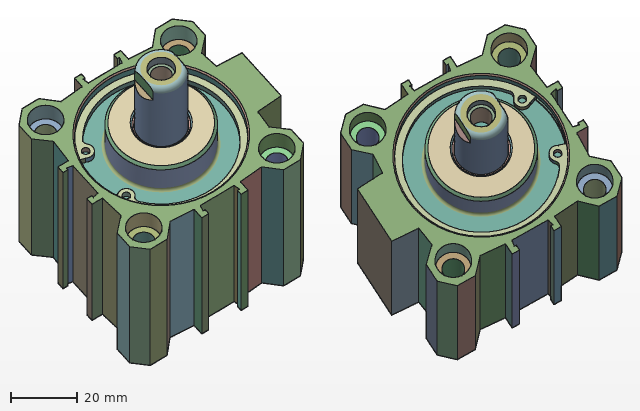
import cadquery as cq
import math

HOUSING_HEIGHT = 59.5
HOUSING_WIDTH = 65.0
CORNER_REACH = HOUSING_WIDTH / 2
CORNER_INNER = 28.1
LUG_FACE_END = 21.8
LUG_ROOT_ALONG = 17.1
LUG_ROOT_OUT = 27.7
WALL_OUT = 28.4

RAIL_REACH = 32.3
RAIL_OUTER = 8.65
HOOK_TIP = 6.0
HOOK_UNDERSIDE = 30.4
RAIL_INNER_TOP = 6.8
RAIL_INNER_ROOT = 6.3

OVERALL_DEPTH = 70.0
BOSS_REACH = OVERALL_DEPTH - CORNER_REACH
BOSS_ROOT_HALF = 10.5
BOSS_TIP_HALF = 9.95

BOLT_SPACING = 49.8
BOLT_HOLE_DIA = 6.8
BOLT_HEAD_DIA = 11.0
BOLT_HEAD_DEPTH = 7.0

BORE_DIA = 52.2
BORE_CHAMFER = 0.51
GROOVE_DIA = 55.2

COVER_DIA = 51.8
COVER_THICKNESS = 15.0
COVER_TOP = 54.2
COVER_BOTTOM = COVER_TOP - COVER_THICKNESS
COLLAR_DIA = 33.9
COLLAR_TOP = 65.5
COLLAR_CHAMFER = 0.9
COLLAR_FILLET = 0.9
ROD_BORE_DIA = 16.6
WIPER_DIA = 17.7
WIPER_DEPTH = 0.9
WIPER_CHAMFER = 0.51

RING_INNER_DIA = 47.4
RING_THICKNESS = 2.1
LUG_RADIUS = 2.6
LUG_BLEND = 1.9
LUG_HOLE_DIA = 2.5
LUG_CENTRE_RADIUS = 23.1
LUG_ANGLE = 26.5

ROD_DIA = 16.0
ROD_TOP = 93.0
ROD_FILLET = 1.8
FLATS_ACROSS = 13.0
FLATS_DEPTH = 5.5
SOCKET_DIA = 8.6
SOCKET_DEPTH = 3.35
DRILL_DIA = 6.6
DRILL_DEPTH = 15.0
DRILL_POINT_ANGLE = 118.0


def cylinder(diameter, bottom, top):
    return cq.Workplane("XY").workplane(offset=bottom).circle(diameter / 2).extrude(top - bottom)


def cone(bottom_dia, top_dia, bottom, top):
    height = top - bottom
    return cq.Workplane(cq.Solid.makeCone(bottom_dia / 2, top_dia / 2, height, cq.Vector(0, 0, bottom)))


def mirrored(half_side):
    """Complete a side from its first half, which ends short of the middle."""
    return half_side + [(-along, out) for along, out in reversed(half_side)]


LUG_HALF = [
    (-CORNER_INNER, CORNER_REACH),
    (-LUG_FACE_END, CORNER_REACH),
    (-LUG_ROOT_ALONG, LUG_ROOT_OUT),
]
RAIL_HALF = [
    (-RAIL_OUTER, WALL_OUT),
    (-RAIL_OUTER, RAIL_REACH),
    (-HOOK_TIP, RAIL_REACH),
    (-HOOK_TIP, HOOK_UNDERSIDE),
    (-RAIL_INNER_TOP, HOOK_UNDERSIDE),
    (-RAIL_INNER_ROOT, WALL_OUT),
]
BOSS_HALF = [(-BOSS_ROOT_HALF, WALL_OUT), (-BOSS_TIP_HALF, BOSS_REACH)]


def housing_outline():
    rail_side = mirrored(LUG_HALF + RAIL_HALF)
    boss_side = mirrored(LUG_HALF + BOSS_HALF)
    points = [(along, out) for along, out in boss_side]
    points += [(out, -along) for along, out in rail_side]
    points += [(-along, -out) for along, out in rail_side]
    points += [(-out, along) for along, out in rail_side]
    return points


def make_housing():
    body = cq.Workplane("XY").polyline(housing_outline()).close().extrude(HOUSING_HEIGHT)
    body = (
        body.faces(">Z").workplane(origin=(0, 0, HOUSING_HEIGHT))
        .rarray(BOLT_SPACING, BOLT_SPACING, 2, 2)
        .cboreHole(BOLT_HOLE_DIA, BOLT_HEAD_DIA, BOLT_HEAD_DEPTH)
    )
    bore = cylinder(BORE_DIA, COVER_BOTTOM, HOUSING_HEIGHT)
    mouth = cone(BORE_DIA, BORE_DIA + 2 * BORE_CHAMFER, HOUSING_HEIGHT - BORE_CHAMFER, HOUSING_HEIGHT)
    groove = cylinder(GROOVE_DIA, COVER_TOP, COVER_TOP + RING_THICKNESS)
    return body.cut(bore).cut(mouth).cut(groove)


def make_cover():
    """Revolve the half section: flange, filleted collar root, chamfered collar rim and stepped bore."""
    rod_bore = ROD_BORE_DIA / 2
    wiper = WIPER_DIA / 2
    collar = COLLAR_DIA / 2
    flange = COVER_DIA / 2
    fillet_mid = COLLAR_FILLET * (1 - math.sqrt(0.5))
    half_section = (
        cq.Workplane("XZ")
        .moveTo(rod_bore, COVER_BOTTOM)
        .lineTo(flange, COVER_BOTTOM)
        .lineTo(flange, COVER_TOP)
        .lineTo(collar + COLLAR_FILLET, COVER_TOP)
        .threePointArc(
            (collar + fillet_mid, COVER_TOP + fillet_mid),
            (collar, COVER_TOP + COLLAR_FILLET),
        )
        .lineTo(collar, COLLAR_TOP - COLLAR_CHAMFER)
        .lineTo(collar - COLLAR_CHAMFER, COLLAR_TOP)
        .lineTo(wiper + WIPER_CHAMFER, COLLAR_TOP)
        .lineTo(wiper, COLLAR_TOP - WIPER_CHAMFER)
        .lineTo(wiper, COLLAR_TOP - WIPER_DEPTH)
        .lineTo(rod_bore, COLLAR_TOP - WIPER_DEPTH)
        .close()
    )
    return half_section.revolve(360, (0, 0, 0), (0, 1, 0))


def make_snap_ring():
    top = COVER_TOP + RING_THICKNESS
    ring = cylinder(GROOVE_DIA, COVER_TOP, top).cut(cylinder(RING_INNER_DIA, COVER_TOP, top))
    lug_angle = math.radians(LUG_ANGLE)
    gap_half_angle = lug_angle - math.asin(LUG_RADIUS / LUG_CENTRE_RADIUS)
    gap_length = GROOVE_DIA
    gap_half_width = gap_length * math.tan(gap_half_angle)
    gap = (
        cq.Workplane("XY").workplane(offset=COVER_TOP)
        .polyline([(0, 0), (-gap_half_width, -gap_length), (gap_half_width, -gap_length)]).close()
        .extrude(RING_THICKNESS)
    )
    lug_x = LUG_CENTRE_RADIUS * math.sin(lug_angle)
    lug_y = -LUG_CENTRE_RADIUS * math.cos(lug_angle)
    lug_layout = cq.Workplane("XY").workplane(offset=COVER_TOP).pushPoints([(-lug_x, lug_y), (lug_x, lug_y)])
    lugs = lug_layout.circle(LUG_RADIUS).extrude(RING_THICKNESS)
    holes = lug_layout.circle(LUG_HOLE_DIA / 2).extrude(RING_THICKNESS)
    ring = ring.cut(gap).union(lugs)
    band_junctions = cq.selectors.BoxSelector(
        (-RING_INNER_DIA, lug_y, COVER_TOP), (RING_INNER_DIA, lug_y + LUG_RADIUS, top)
    )
    return ring.edges("|Z").edges(band_junctions).fillet(LUG_BLEND).cut(holes)


def make_rod():
    rod = cylinder(ROD_DIA, COVER_BOTTOM, ROD_TOP).faces(">Z").edges().fillet(ROD_FILLET)
    flat_out = FLATS_ACROSS / 2
    flat_bottom = ROD_TOP - FLATS_DEPTH
    runout = ROD_DIA / 2
    for side in (-1, 1):
        flat = (
            cq.Workplane("YZ")
            .polyline([
                (side * flat_out, ROD_TOP),
                (side * flat_out, flat_bottom),
                (side * (flat_out + runout), flat_bottom - runout),
                (side * (flat_out + runout), ROD_TOP),
            ]).close().extrude(ROD_DIA / 2, both=True)
        )
        rod = rod.cut(flat)
    drill_bottom = ROD_TOP - DRILL_DEPTH
    point_height = DRILL_DIA / 2 / math.tan(math.radians(DRILL_POINT_ANGLE / 2))
    socket = cylinder(SOCKET_DIA, ROD_TOP - SOCKET_DEPTH, ROD_TOP)
    drill = cylinder(DRILL_DIA, drill_bottom, ROD_TOP)
    drill_point = cone(0, DRILL_DIA, drill_bottom - point_height, drill_bottom)
    return rod.cut(socket).cut(drill).cut(drill_point)


housing = make_housing()
cover = make_cover()
snap_ring = make_snap_ring()
rod = make_rod()

result = cq.Compound.makeCompound([housing.val(), cover.val(), snap_ring.val(), rod.val()])